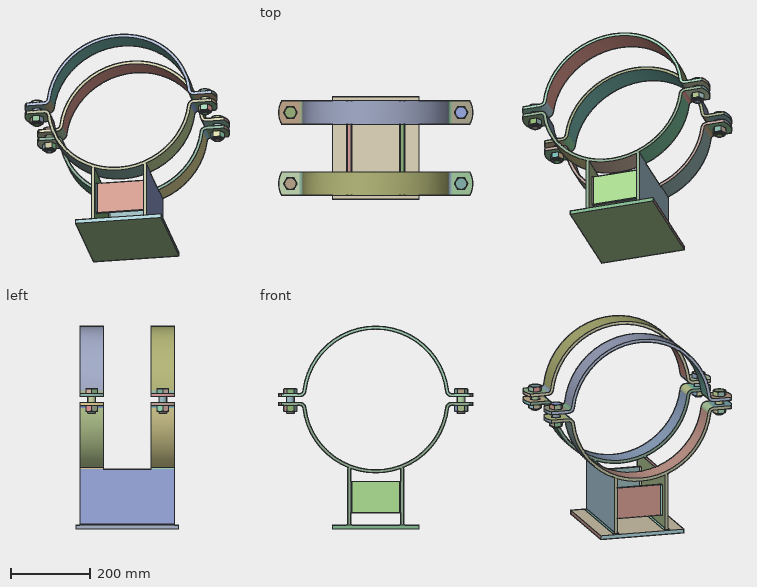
import cadquery as cq
import math

base_length = 220.0
base_width = 260.0
base_thickness = 10.0

side_thickness = 8.0
side_spacing = 126.0
side_width = 240.0
side_top_z = 152.0
side_inner_x = side_spacing / 2
side_outer_x = side_inner_x + side_thickness
weld_leg = 3.5
ring_weld_inset = 1.0

web_thickness = 6.0
web_height = 80.0
web_y = 90.0
web_bottom_z = (base_thickness + side_top_z - web_height) / 2

pipe_diameter = 355.7
pipe_axis_z = 328.0
strap_thickness = 8.0
strap_width = 60.0
strap_y = (side_width - strap_width) / 2
clamp_gap = 14.0
ear_span = 492.0
ear_end_radius = 60.0
bend_inner_radius = 8.0
ring_inner_radius = pipe_diameter / 2
ring_outer_radius = ring_inner_radius + strap_thickness
ear_inner_z = clamp_gap / 2
ear_outer_z = ear_inner_z + strap_thickness

bolt_x = 216.0
bolt_diameter = 20.0
bolt_tip_diameter = 17.3
bolt_hole_diameter = 23.0
bolt_protrusion = 4.0
hex_across_flats = 30.0
hex_across_corners = hex_across_flats / math.cos(math.pi / 6)
head_face_diameter = 29.0
nut_face_diameter = 27.7
hex_chamfer_angle = math.radians(30)
head_height = 12.5
nut_height = 16.0


def make_base():
    return cq.Workplane("XY").box(base_length, base_width, base_thickness, centered=(True, True, False))


def make_side_plate():
    """Side plate on +X with a fillet weld along both sides of its foot."""
    foot_z = base_thickness
    weld_z = foot_z + weld_leg
    return (
        cq.Workplane("XZ")
        .moveTo(side_inner_x - weld_leg, foot_z)
        .lineTo(side_outer_x + weld_leg, foot_z)
        .lineTo(side_outer_x, weld_z)
        .lineTo(side_outer_x, side_top_z)
        .lineTo(side_inner_x, side_top_z)
        .lineTo(side_inner_x, weld_z)
        .close()
        .extrude(side_width / 2, both=True)
    )


def make_ring_weld():
    """Weld filling the wedge between the +X side plate top and a ring at Y = 0."""
    ring_meeting_z = pipe_axis_z - math.sqrt(ring_outer_radius**2 - side_outer_x**2)
    ring_inside_z = ring_meeting_z + strap_thickness / 2
    slope = ring_weld_inset / (ring_meeting_z - side_top_z)
    outer_top_x = side_outer_x - slope * (ring_inside_z - side_top_z)
    wedge_block = (
        cq.Workplane("XZ")
        .moveTo(side_inner_x, side_top_z)
        .lineTo(side_outer_x, side_top_z)
        .lineTo(outer_top_x, ring_inside_z)
        .lineTo(side_inner_x, ring_inside_z)
        .close()
        .extrude(strap_width / 2, both=True)
    )
    ring_space = (
        cq.Workplane("XZ", origin=(0, 0, pipe_axis_z))
        .circle((ring_inner_radius + ring_outer_radius) / 2)
        .extrude(side_width, both=True)
    )
    return wedge_block.cut(ring_space)


def make_web():
    """Cross web on Y = 0, welded to both side plates on both of its faces."""
    face = web_thickness / 2
    weld_x = side_inner_x - weld_leg
    outline = [
        (side_inner_x, face + weld_leg),
        (weld_x, face),
        (-weld_x, face),
        (-side_inner_x, face + weld_leg),
        (-side_inner_x, -face - weld_leg),
        (-weld_x, -face),
        (weld_x, -face),
        (side_inner_x, -face - weld_leg),
    ]
    return (
        cq.Workplane("XY", origin=(0, 0, web_bottom_z))
        .polyline(outline)
        .close()
        .extrude(web_height)
    )


def make_half_clamp():
    """Upper half strap: half ring with an ear bent outwards at each end."""
    bend_outer_radius = bend_inner_radius + strap_thickness
    bend_z = ear_inner_z + bend_outer_radius
    bend_reach = ring_outer_radius + bend_inner_radius
    bend_x = math.sqrt(bend_reach**2 - bend_z**2)
    bend_angle = math.atan2(bend_z, bend_x)
    ring_side_angle = math.pi + bend_angle
    ear_side_angle = 3 * math.pi / 2
    mid_angle = (ring_side_angle + ear_side_angle) / 2
    ear_x = ear_span / 2

    def on_ring(radius, side):
        return (side * radius * math.cos(bend_angle), radius * math.sin(bend_angle))

    def mid_bend(radius, side):
        x = bend_x + radius * math.cos(mid_angle)
        return (side * x, bend_z + radius * math.sin(mid_angle))

    strap = (
        cq.Workplane("XZ")
        .moveTo(ear_x, ear_inner_z)
        .lineTo(ear_x, ear_outer_z)
        .lineTo(bend_x, ear_outer_z)
        .threePointArc(mid_bend(bend_inner_radius, 1), on_ring(ring_outer_radius, 1))
        .threePointArc((0, ring_outer_radius), on_ring(ring_outer_radius, -1))
        .threePointArc(mid_bend(bend_inner_radius, -1), (-bend_x, ear_outer_z))
        .lineTo(-ear_x, ear_outer_z)
        .lineTo(-ear_x, ear_inner_z)
        .lineTo(-bend_x, ear_inner_z)
        .threePointArc(mid_bend(bend_outer_radius, -1), on_ring(ring_inner_radius, -1))
        .threePointArc((0, ring_inner_radius), on_ring(ring_inner_radius, 1))
        .threePointArc(mid_bend(bend_outer_radius, 1), (bend_x, ear_inner_z))
        .close()
        .extrude(strap_width / 2, both=True)
    )

    half_width = strap_width / 2
    end_sagitta = ear_end_radius - math.sqrt(ear_end_radius**2 - half_width**2)
    corner_x = ear_x - end_sagitta
    plan = (
        cq.Workplane("XY")
        .moveTo(-corner_x, -half_width)
        .lineTo(corner_x, -half_width)
        .threePointArc((ear_x, 0), (corner_x, half_width))
        .lineTo(-corner_x, half_width)
        .threePointArc((-ear_x, 0), (-corner_x, -half_width))
        .close()
        .extrude(ring_outer_radius + strap_thickness)
    )
    bolt_holes = (
        cq.Workplane("XY")
        .pushPoints([(-bolt_x, 0), (bolt_x, 0)])
        .circle(bolt_hole_diameter / 2)
        .extrude(bend_z)
    )
    return strap.intersect(plan).cut(bolt_holes)


def make_hex(height, face_diameter):
    """Hexagon on Z = 0 with corners on X and its top corners turned off conically."""
    top_radius = face_diameter / 2
    bottom_radius = top_radius + height / math.tan(hex_chamfer_angle)
    turned_cone = cq.Workplane("XY").add(cq.Solid.makeCone(bottom_radius, top_radius, height))
    return cq.Workplane("XY").polygon(6, hex_across_corners).extrude(height).intersect(turned_cone)


def make_bolt():
    """Bolt along Z with head and nut, centred on the clamp gap."""
    head = make_hex(head_height, head_face_diameter).translate((0, 0, ear_outer_z))
    nut = make_hex(nut_height, nut_face_diameter).mirror("XY").translate((0, 0, -ear_outer_z))
    tip_z = -ear_outer_z - nut_height - bolt_protrusion
    tip_chamfer = (bolt_diameter - bolt_tip_diameter) / 2
    shank = (
        cq.Workplane("XY", origin=(0, 0, tip_z))
        .circle(bolt_diameter / 2)
        .extrude(ear_outer_z - tip_z)
        .faces("<Z")
        .chamfer(tip_chamfer)
    )
    return shank.union(head).union(nut)


def make_clamp():
    """Upper and lower strap halves joined by a bolt through each pair of ears."""
    upper = make_half_clamp()
    clamp = upper.union(upper.mirror("XY"))
    for x in (-bolt_x, bolt_x):
        clamp = clamp.union(make_bolt().translate((x, 0, 0)))
    return clamp.translate((0, 0, pipe_axis_z))


result = make_base()

side_plate = make_side_plate()
ring_weld = make_ring_weld()
web = make_web()
clamp = make_clamp()

for plate in (side_plate, side_plate.mirror("YZ")):
    result = result.union(plate)

for y_sign in (-1, 1):
    result = result.union(web.translate((0, y_sign * web_y, 0)))
    result = result.union(clamp.translate((0, y_sign * strap_y, 0)))
    for weld in (ring_weld, ring_weld.mirror("YZ")):
        result = result.union(weld.translate((0, y_sign * strap_y, 0)))